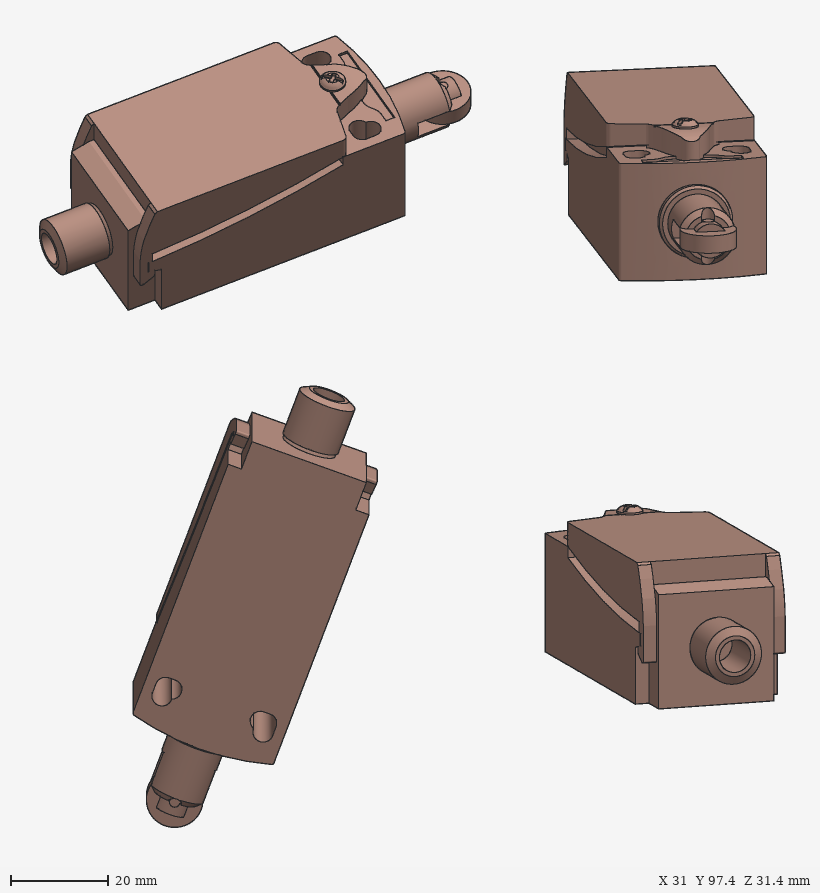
import cadquery as cq
import math


WIDTH = 31.0
HALF_WIDTH = WIDTH / 2
CHEEK = 2.9
BLOCK_HALF = HALF_WIDTH - CHEEK
AXIS_Z = 12.6
BASE_TOP = 24.9
LID_TOP = 30.0
FRONT_Y = 65.2
FRONT_CORNER_Y = 63.0
CORNER_RADIUS = 0.6

CHEEK_BASE_Y = 6.2
LID_REAR_Y = 5.3
STRIP_Y = 4.1
STRIP_Z = 25.1
BLOCK_REAR_Z = 24.1
NOSE_Y = 3.3
NOSE_LOW_Z = 12.0
NOSE_MID_Z = 12.5
NOSE_TOP_Z = 12.9
HOOK_GAP = 0.2
HOOK_FRONT_Y = 4.7
HOOK_FRONT_Z = 11.0
HOOK_REAR_Y = 1.3
HOOK_BOTTOM_Z = 9.5
HOOK_ROUND = 0.4

CHEEK_ARC_LOW_Z = 17.3
CHEEK_ARC_MID_Y = 1.6
CHEEK_ARC_MID_Z = 20.1
CHEEK_ARC_TOP_Y = 2.1
CHEEK_ARC_TOP_Z = 22.9
CHEEK_BEND_Y = 3.5
CHEEK_BEND_Z = 26.8
CHEEK_RIM_Y = 4.7
CHEEK_RIM_DROP = 0.5

GROOVE_FRONT_Y = 48.5
GROOVE_MID_Y = 24.2
GROOVE_REAR_Y = 4.1
GROOVE_MID_Z = 17.4
GROOVE_REAR_Z = 15.5
GROOVE_FRONT_Z = 22.6
GROOVE_HEIGHT = 2.3
GROOVE_DEPTH = CHEEK

LID_SIDE_Y = 49.4
LID_CORNER_RADIUS = 1.1
LID_SHOULDER_X = 7.6
LID_SHOULDER_Y = 51.2
SHOULDER_ARC_X = 6.8
SHOULDER_ARC_Y = 51.7
TONGUE_ROOT_X = 6.2
TONGUE_ROOT_Y = 52.6
TONGUE_SIDE_X = 5.1
TONGUE_SIDE_Y = 55.1
TONGUE_BULGE_X = 3.8
TONGUE_BULGE_Y = 58.0
TONGUE_END_X = 1.9
TONGUE_END_Y = 60.5
TONGUE_TIP_Y = 61.85
TONGUE_SLOPE_Y = 56.0
TONGUE_ARC_Y = 58.7
TONGUE_ARC_Z = 29.7
TONGUE_END_Z = 29.2
TONGUE_TIP_Z = 28.5
SEAM_WIDTH = 0.3
SEAM_DEPTH = 0.3
SLIT_HEIGHT = 0.6
SLIT_LOW_HEIGHT = 0.2

HOLE_WIDTH = 4.2
HOLE_RADIUS = HOLE_WIDTH / 2
HOLE_X = 11.1
HOLE_FRONT_Y = 57.3
HOLE_REAR_Y = 55.2
HOLE_INNER_X = 9.7
POCKET_HALF = 10.5
POCKET_FRONT_Y = 63.1
POCKET_SIDE_Y = 61.1
POCKET_CURVE_X = 8.5
POCKET_REAR_X = 3.8
POCKET_REAR_Y = 59.3
POCKET_DEPTH = 0.6

SCREW_Y = 54.2
SCREW_RADIUS = 2.7
SCREW_RIM = 0.4
SCREW_DOME_RADIUS = 2.1
SCREW_DOME_Z = 31.0
SCREW_TOP_RADIUS = 1.4
SCREW_TOP_Z = 31.4
RECESS_SLOT_LENGTH = 4.5
RECESS_CROSS_LENGTH = 2.5
RECESS_WIDTH = 0.9
RECESS_DEPTH = 0.8
RECESS_ANGLE = 45

CONNECTOR_LENGTH = 11.8
CONNECTOR_DIAMETER = 12.2
CONNECTOR_RADIUS = CONNECTOR_DIAMETER / 2
CONNECTOR_BORE = 3.4
CONNECTOR_RIM_RADIUS = 4.3
CONNECTOR_CHAMFER = 1.0
NECK_LENGTH = 0.9
NECK_BASE_RADIUS = 5.7
NECK_RADIUS = 5.4

FLANGE_RADIUS = 7.7
FLANGE_SEAT_Y = 64.5
FLANGE_FRONT_Y = 66.7
FLANGE_CHAMFER = 0.6
PLUNGER_RADIUS = 6.0
PLUNGER_END_Y = 79.7
PLUNGER_CHAMFER = 1.3
SLOT_BOTTOM_Y = 71.0
SLOT_HEIGHT = 4.0
HUB_RADIUS = 3.6
HUB_END_Y = 82.6
ROLLER_RADIUS = 5.8
ROLLER_THICKNESS = 3.7
ROLLER_Y = 79.8
PIN_RADIUS = 1.1
PIN_POCKET_RADIUS = 1.4


def revolve_about_axis(points):
    """Revolve (radius, y) points about the plunger and connector axis."""
    sketch = cq.Workplane("XY", origin=(0, 0, AXIS_Z)).polyline(points).close()
    return sketch.revolve(360, (0, 0), (0, 1))


def box_between(x0, x1, y0, y1, z0, z1):
    """Box between pairs of X, Y and Z limits."""
    return cq.Workplane("XY").box(x1 - x0, y1 - y0, z1 - z0, centered=False).translate((x0, y0, z0))


def centred_disc(radius, thickness):
    """Upright cylinder centred on the origin."""
    return cq.Workplane("XY").circle(radius).extrude(thickness / 2, both=True)


def across_width(outline):
    """Extrude a closed Y-Z outline over the full width."""
    return outline.extrude(HALF_WIDTH, both=True)


def base_plate():
    """Base with a bowed front and a shallow pocket in its top."""
    base = (
        cq.Workplane("XY")
        .moveTo(-HALF_WIDTH, 0)
        .lineTo(-HALF_WIDTH, FRONT_CORNER_Y)
        .threePointArc((0, FRONT_Y), (HALF_WIDTH, FRONT_CORNER_Y))
        .lineTo(HALF_WIDTH, 0)
        .close()
        .extrude(BASE_TOP)
    )
    base = base.edges("|Z and (not <Y)").fillet(CORNER_RADIUS)
    pocket = (
        cq.Workplane("XY", origin=(0, 0, BASE_TOP - POCKET_DEPTH))
        .moveTo(-POCKET_HALF, POCKET_FRONT_Y)
        .lineTo(-POCKET_HALF, POCKET_SIDE_Y)
        .lineTo(-POCKET_CURVE_X, POCKET_SIDE_Y)
        .spline([(-POCKET_REAR_X, POCKET_REAR_Y)], tangents=[(1, 0), (1, 0)], includeCurrent=True)
        .lineTo(POCKET_REAR_X, POCKET_REAR_Y)
        .spline([(POCKET_CURVE_X, POCKET_SIDE_Y)], tangents=[(1, 0), (1, 0)], includeCurrent=True)
        .lineTo(POCKET_HALF, POCKET_SIDE_Y)
        .lineTo(POCKET_HALF, POCKET_FRONT_Y)
        .close()
        .extrude(POCKET_DEPTH)
    )
    return base.cut(pocket)


def lid():
    """Lid plan with a tongue that reaches into the pocket of the base."""
    bottom = BASE_TOP - POCKET_DEPTH
    plan = (
        cq.Workplane("XY", origin=(0, 0, bottom))
        .moveTo(-HALF_WIDTH, 0)
        .lineTo(-HALF_WIDTH, LID_SIDE_Y)
        .lineTo(-LID_SHOULDER_X, LID_SHOULDER_Y)
        .threePointArc((-SHOULDER_ARC_X, SHOULDER_ARC_Y), (-TONGUE_ROOT_X, TONGUE_ROOT_Y))
        .lineTo(-TONGUE_SIDE_X, TONGUE_SIDE_Y)
        .threePointArc((-TONGUE_BULGE_X, TONGUE_BULGE_Y), (-TONGUE_END_X, TONGUE_END_Y))
        .threePointArc((0, TONGUE_TIP_Y), (TONGUE_END_X, TONGUE_END_Y))
        .threePointArc((TONGUE_BULGE_X, TONGUE_BULGE_Y), (TONGUE_SIDE_X, TONGUE_SIDE_Y))
        .lineTo(TONGUE_ROOT_X, TONGUE_ROOT_Y)
        .threePointArc((SHOULDER_ARC_X, SHOULDER_ARC_Y), (LID_SHOULDER_X, LID_SHOULDER_Y))
        .lineTo(HALF_WIDTH, LID_SIDE_Y)
        .lineTo(HALF_WIDTH, 0)
        .close()
        .extrude(LID_TOP - bottom)
    )
    return plan.edges("|Z and (<X or >X) and (not <Y)").fillet(LID_CORNER_RADIUS)


def side_outline():
    """Full-width body with the Y-Z outline of hook, cheeks, lid top and tongue top."""
    outline = (
        cq.Workplane("YZ")
        .moveTo(CHEEK_BASE_Y, 0)
        .lineTo(CHEEK_BASE_Y, NOSE_LOW_Z)
        .lineTo(HOOK_FRONT_Y, NOSE_MID_Z)
        .lineTo(HOOK_FRONT_Y, HOOK_FRONT_Z)
        .lineTo(HOOK_REAR_Y + 2 * HOOK_ROUND, HOOK_BOTTOM_Z)
        .lineTo(HOOK_REAR_Y + HOOK_ROUND, HOOK_BOTTOM_Z)
        .radiusArc((HOOK_REAR_Y, HOOK_BOTTOM_Z + HOOK_ROUND), HOOK_ROUND)
        .lineTo(HOOK_REAR_Y, CHEEK_ARC_LOW_Z)
        .threePointArc((CHEEK_ARC_MID_Y, CHEEK_ARC_MID_Z), (CHEEK_ARC_TOP_Y, CHEEK_ARC_TOP_Z))
        .lineTo(CHEEK_BEND_Y, CHEEK_BEND_Z)
        .lineTo(CHEEK_RIM_Y, LID_TOP - CHEEK_RIM_DROP)
        .lineTo(LID_REAR_Y, LID_TOP)
        .lineTo(TONGUE_SLOPE_Y, LID_TOP)
        .threePointArc((TONGUE_ARC_Y, TONGUE_ARC_Z), (TONGUE_END_Y, TONGUE_END_Z))
        .lineTo(TONGUE_TIP_Y, TONGUE_TIP_Z)
        .lineTo(TONGUE_TIP_Y, BASE_TOP)
        .lineTo(FRONT_Y, BASE_TOP)
        .lineTo(FRONT_Y, 0)
        .close()
    )
    return across_width(outline)


def rear_block():
    """Block between the cheeks, with a sloped top."""
    outline = cq.Workplane("YZ").polyline([
        (0, 0),
        (0, BLOCK_REAR_Z),
        (STRIP_Y, STRIP_Z),
        (CHEEK_BASE_Y, STRIP_Z),
        (CHEEK_BASE_Y, 0),
    ]).close()
    return outline.extrude(BLOCK_HALF, both=True)


def side_groove(side):
    """Curved groove and hook gap between lid and base on one side (-1 or 1)."""
    groove = (
        cq.Workplane("YZ")
        .moveTo(GROOVE_FRONT_Y, GROOVE_FRONT_Z)
        .threePointArc((GROOVE_MID_Y, GROOVE_MID_Z), (GROOVE_REAR_Y, GROOVE_REAR_Z))
        .lineTo(GROOVE_REAR_Y, GROOVE_REAR_Z + GROOVE_HEIGHT)
        .threePointArc(
            (GROOVE_MID_Y, GROOVE_MID_Z + GROOVE_HEIGHT),
            (GROOVE_FRONT_Y, GROOVE_FRONT_Z + GROOVE_HEIGHT),
        )
        .close()
        .extrude(GROOVE_DEPTH)
        .translate((-HALF_WIDTH, 0, 0))
    )
    hook_gap = box_between(
        -HALF_WIDTH, -BLOCK_HALF, NOSE_Y - HOOK_GAP, NOSE_Y, NOSE_TOP_Z, GROOVE_REAR_Z
    )
    cutter = groove.union(hook_gap)
    return cutter if side < 0 else cutter.mirror("YZ")


def mounting_hole(side):
    """Bent slot through the base: a forward leg and a short inward leg."""
    wall_x = HOLE_X - HOLE_RADIUS
    offset = wall_x - HOLE_INNER_X
    notch_y = HOLE_REAR_Y + math.sqrt(HOLE_RADIUS**2 - offset**2)
    diagonal = HOLE_RADIUS * math.sqrt(0.5)
    hole = (
        cq.Workplane("XY")
        .moveTo(HOLE_X + HOLE_RADIUS, HOLE_FRONT_Y)
        .threePointArc((HOLE_X, HOLE_FRONT_Y + HOLE_RADIUS), (wall_x, HOLE_FRONT_Y))
        .lineTo(wall_x, notch_y)
        .threePointArc(
            (HOLE_INNER_X - diagonal, HOLE_REAR_Y - diagonal),
            (HOLE_INNER_X, HOLE_REAR_Y - HOLE_RADIUS),
        )
        .lineTo(HOLE_X, HOLE_REAR_Y - HOLE_RADIUS)
        .threePointArc(
            (HOLE_X + diagonal, HOLE_REAR_Y - diagonal),
            (HOLE_X + HOLE_RADIUS, HOLE_REAR_Y),
        )
        .close()
        .extrude(BASE_TOP)
    )
    return hole if side > 0 else hole.mirror("YZ")


def lid_slit():
    """Wedge-shaped slit across the width under the front edge of the lid."""
    outline = cq.Workplane("YZ").polyline([
        (LID_SHOULDER_Y, BASE_TOP),
        (LID_SHOULDER_Y, BASE_TOP + SLIT_HEIGHT),
        (LID_SIDE_Y, BASE_TOP + SLIT_LOW_HEIGHT),
        (LID_SIDE_Y, BASE_TOP),
    ]).close()
    return across_width(outline)


def tongue_seam():
    """Cutter for the fine seam between tongue and lid."""
    return box_between(
        -TONGUE_ROOT_X, TONGUE_ROOT_X,
        TONGUE_ROOT_Y - SEAM_WIDTH / 2, TONGUE_ROOT_Y + SEAM_WIDTH / 2,
        LID_TOP - SEAM_DEPTH, LID_TOP,
    )


def lid_screw():
    """Domed screw head with a long slot crossed by a short one."""
    rim_z = LID_TOP + SCREW_RIM
    head = (
        cq.Workplane("XZ")
        .moveTo(0, LID_TOP - SEAM_DEPTH)
        .lineTo(SCREW_RADIUS, LID_TOP - SEAM_DEPTH)
        .lineTo(SCREW_RADIUS, rim_z)
        .threePointArc((SCREW_DOME_RADIUS, SCREW_DOME_Z), (SCREW_TOP_RADIUS, SCREW_TOP_Z))
        .lineTo(0, SCREW_TOP_Z)
        .close()
        .revolve(360, (0, 0), (0, 1))
    )
    recess = cq.Workplane("XY", origin=(0, 0, SCREW_TOP_Z - RECESS_DEPTH))
    recess = recess.rect(RECESS_SLOT_LENGTH, RECESS_WIDTH).extrude(RECESS_DEPTH).union(
        recess.rect(RECESS_WIDTH, RECESS_CROSS_LENGTH).extrude(RECESS_DEPTH)
    )
    recess = recess.rotate((0, 0, 0), (0, 0, 1), RECESS_ANGLE)
    return head.cut(recess).translate((0, SCREW_Y, 0))


def connector():
    """Hollow round connector with an undercut neck."""
    return revolve_about_axis([
        (CONNECTOR_BORE, 0),
        (NECK_BASE_RADIUS, 0),
        (NECK_RADIUS, -NECK_LENGTH),
        (CONNECTOR_RADIUS, -NECK_LENGTH),
        (CONNECTOR_RADIUS, CONNECTOR_CHAMFER - CONNECTOR_LENGTH),
        (CONNECTOR_RIM_RADIUS, -CONNECTOR_LENGTH),
        (CONNECTOR_BORE, -CONNECTOR_LENGTH),
    ])


def flange_seat():
    """Cutter for the round recess in the bowed front that takes the plunger flange."""
    return revolve_about_axis(
        [(0, FLANGE_SEAT_Y), (FLANGE_RADIUS, FLANGE_SEAT_Y), (FLANGE_RADIUS, FRONT_Y), (0, FRONT_Y)]
    )


def make_switch_body():
    """Base, lid, lid screw and connector as one solid."""
    body = base_plate().union(lid()).intersect(side_outline())
    body = body.cut(box_between(-BLOCK_HALF, BLOCK_HALF, 0, LID_REAR_Y, 0, LID_TOP))
    body = body.union(rear_block())
    for side in (-1, 1):
        body = body.cut(side_groove(side)).cut(mounting_hole(side))
    body = body.cut(lid_slit()).cut(tongue_seam()).cut(flange_seat())
    return body.union(lid_screw()).union(connector())


def make_plunger_head():
    """Flanged plunger with a roller held by a cross pin in its slotted end."""
    plunger = revolve_about_axis([
        (0, FLANGE_SEAT_Y),
        (FLANGE_RADIUS, FLANGE_SEAT_Y),
        (FLANGE_RADIUS, FLANGE_FRONT_Y - FLANGE_CHAMFER),
        (FLANGE_RADIUS - FLANGE_CHAMFER, FLANGE_FRONT_Y),
        (PLUNGER_RADIUS, FLANGE_FRONT_Y),
        (PLUNGER_RADIUS, PLUNGER_END_Y - PLUNGER_CHAMFER),
        (PLUNGER_RADIUS - PLUNGER_CHAMFER, PLUNGER_END_Y),
        (HUB_RADIUS, PLUNGER_END_Y),
        (HUB_RADIUS, HUB_END_Y),
        (0, HUB_END_Y),
    ])
    slot = box_between(
        -PLUNGER_RADIUS, PLUNGER_RADIUS, SLOT_BOTTOM_Y, HUB_END_Y,
        AXIS_Z - SLOT_HEIGHT / 2, AXIS_Z + SLOT_HEIGHT / 2,
    )
    pockets = centred_disc(PIN_POCKET_RADIUS, 2 * PLUNGER_RADIUS).cut(
        centred_disc(PIN_POCKET_RADIUS, 2 * HUB_RADIUS)
    )
    pin = centred_disc(PIN_RADIUS, 2 * HUB_RADIUS)
    roller = centred_disc(ROLLER_RADIUS, ROLLER_THICKNESS)
    pin_centre = (0, ROLLER_Y, AXIS_Z)
    head = plunger.cut(slot).cut(pockets.translate(pin_centre))
    return head.union(pin.translate(pin_centre)).union(roller.translate(pin_centre))


switch_body = make_switch_body()
plunger_head = make_plunger_head()
result = cq.Compound.makeCompound([switch_body.val(), plunger_head.val()])